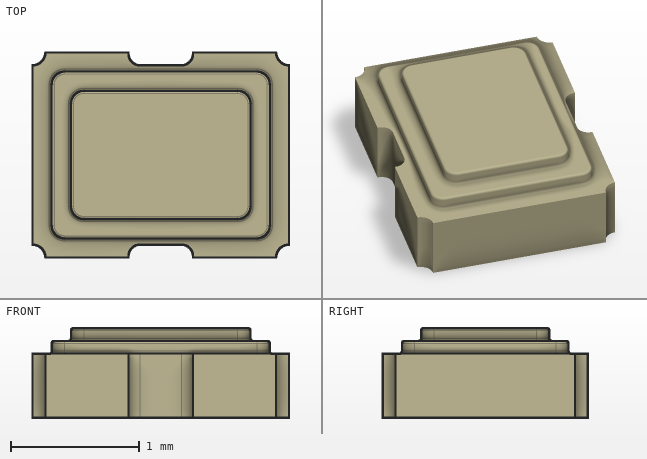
import cadquery as cq

base_length = 2.0
base_width = 1.6
base_height = 0.5
corner_notch_radius = 0.1

side_notch_length = 0.5
side_notch_depth = 0.1
side_notch_radius = 0.0875

lower_tier_length = 1.7
lower_tier_width = 1.3
upper_tier_length = 1.4
upper_tier_width = 1.0
tier_height = 0.1
tier_corner_radius = 0.1
tier_fillet = 0.02


def corner_notches():
    """Quarter-round notches running down the four vertical corners."""
    return (
        cq.Workplane("XY")
        .rect(base_length, base_width, forConstruction=True)
        .vertices()
        .circle(corner_notch_radius)
        .extrude(base_height)
    )


def side_notches():
    """Full-height notches with rounded inner corners on both long sides."""
    return (
        cq.Workplane("XY")
        .pushPoints([(0, -base_width / 2), (0, base_width / 2)])
        .rect(side_notch_length, 2 * side_notch_depth)
        .extrude(base_height)
        .edges("|Z")
        .fillet(side_notch_radius)
    )


def make_base():
    block = cq.Workplane("XY").rect(base_length, base_width).extrude(base_height)
    return block.cut(corner_notches()).cut(side_notches())


def add_tier(body, length, width, bottom):
    """Add a plate with rounded corners, a rounded top rim and a concave fillet around its foot."""
    plate = (
        cq.Workplane("XY", origin=(0, 0, bottom))
        .rect(length, width)
        .extrude(tier_height)
        .edges("|Z")
        .fillet(tier_corner_radius)
        .faces(">Z")
        .edges()
        .fillet(tier_fillet)
    )
    margin = tier_fillet / 2
    foot_edges = cq.selectors.BoxSelector(
        (-length / 2 - margin, -width / 2 - margin, bottom - margin),
        (length / 2 + margin, width / 2 + margin, bottom + margin),
        boundingbox=True,
    )
    return body.union(plate).edges(foot_edges).fillet(tier_fillet)


lower_tier_bottom = base_height
upper_tier_bottom = lower_tier_bottom + tier_height

result = make_base()
result = add_tier(result, lower_tier_length, lower_tier_width, lower_tier_bottom)
result = add_tier(result, upper_tier_length, upper_tier_width, upper_tier_bottom)